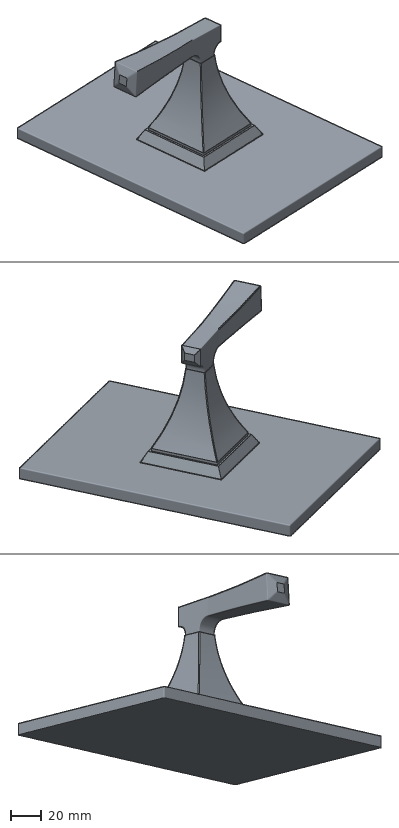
import cadquery as cq
import math

PLATE_WIDTH = 196.85
PLATE_HEIGHT = 139.7
PLATE_THICKNESS = 7.94
PLATE_ROUND = 0.8

FOOT_BOTTOM = 58.8
FOOT_TOP = 51.0
FOOT_TOP_Z = 15.4
FOOT_RIM_HEIGHT = 0.4

COLUMN_FOOT_HALF = 24.1
COLUMN_BAND_TOP_Z = 17.3
COLUMN_MIDDLE_HALF = 12.6
COLUMN_MIDDLE_Z = 43.8
COLUMN_TOP_HALF = 7.15
COLUMN_TOP_Z = 71.7
COLUMN_CORNER_ROUND = 0.6

HEAD_HALF_WIDTH = 6.9
NECK_HALF_DEPTH = 6.8
NECK_TOP_Z = 72.6
FRONT_NECK_RADIUS = 8.3
BACK_NECK_RADIUS = 6.2
HEAD_BACK_Y = 13.2
HEAD_BACK_TOP_Z = 92.0
GRIP_START_Y = -NECK_HALF_DEPTH - FRONT_NECK_RADIUS
GRIP_START_TOP_Z = 93.8

LEVER_TOP_Z = 99.2
LEVER_END_TOP_Y = -74.0
LEVER_END_BOTTOM_Y = -75.4
LEVER_END_BOTTOM_Z = 80.1
LEVER_END_HALF_WIDTH = 9.7
GRIP_MIDDLE_Y = -48.0
GRIP_MIDDLE_TOP_Z = 96.2
GRIP_MIDDLE_BOTTOM_Z = 80.8
GRIP_MIDDLE_HALF_WIDTH = 8.5

LEVER_EDGE_ROUND = 0.5
CAP_HIP_ROUND = 1.9
EDGE_MARGIN = 0.1

FRONT_CAP_TIP = 6.4
FRONT_CAP_DEPTH = 2.6
BACK_CAP_TIP_WIDTH = 7.2
BACK_CAP_TIP_HEIGHT = 5.4
BACK_CAP_DEPTH = 2.5


def blunt_pyramid(plane, base, tip, depth):
    """Frustum from a base rectangle to a tip rectangle along the plane normal."""
    return cq.Workplane(plane).rect(*base).workplane(offset=depth).rect(*tip).loft(ruled=True)


def make_plate():
    """Flat plate with its front and upright edges rounded; the back edges stay sharp."""
    plate = cq.Workplane("XY").box(PLATE_WIDTH, PLATE_HEIGHT, PLATE_THICKNESS, centered=(True, True, False))
    return plate.edges("|Z or >Z").fillet(PLATE_ROUND)


def make_foot():
    """Low square rim with a sloping frustum above it."""
    rim_top_z = PLATE_THICKNESS + FOOT_RIM_HEIGHT
    plane = cq.Plane(origin=(0, 0, rim_top_z))
    base = (FOOT_BOTTOM, FOOT_BOTTOM)
    tip = (FOOT_TOP, FOOT_TOP)
    rim = cq.Workplane(plane).rect(*base).extrude(-FOOT_RIM_HEIGHT)
    return rim.union(blunt_pyramid(plane, base, tip, FOOT_TOP_Z - rim_top_z))


def column_profile(plane_name):
    """Flared silhouette extruded symmetrically through the column."""
    return (
        cq.Workplane(plane_name)
        .moveTo(-COLUMN_FOOT_HALF, FOOT_TOP_Z)
        .lineTo(COLUMN_FOOT_HALF, FOOT_TOP_Z)
        .lineTo(COLUMN_FOOT_HALF, COLUMN_BAND_TOP_Z)
        .threePointArc((COLUMN_MIDDLE_HALF, COLUMN_MIDDLE_Z), (COLUMN_TOP_HALF, COLUMN_TOP_Z))
        .lineTo(-COLUMN_TOP_HALF, COLUMN_TOP_Z)
        .threePointArc((-COLUMN_MIDDLE_HALF, COLUMN_MIDDLE_Z), (-COLUMN_FOOT_HALF, COLUMN_BAND_TOP_Z))
        .close()
        .extrude(COLUMN_FOOT_HALF, both=True)
    )


def make_column():
    """Square column, flared alike on all four sides, with softened corners."""
    column = column_profile("XZ").intersect(column_profile("YZ"))
    return column.edges("not #Z").fillet(COLUMN_CORNER_ROUND)


def lever_side():
    """Side silhouette of neck, head and grip in the YZ plane."""
    diagonal = math.sqrt(0.5)
    grip_bottom_z = NECK_TOP_Z + FRONT_NECK_RADIUS
    back_y = NECK_HALF_DEPTH + BACK_NECK_RADIUS
    head_bottom_z = NECK_TOP_Z + BACK_NECK_RADIUS
    front_mid = (GRIP_START_Y + FRONT_NECK_RADIUS * diagonal, NECK_TOP_Z + FRONT_NECK_RADIUS * diagonal)
    back_mid = (back_y - BACK_NECK_RADIUS * diagonal, NECK_TOP_Z + BACK_NECK_RADIUS * diagonal)
    return (
        cq.Workplane("YZ")
        .moveTo(-NECK_HALF_DEPTH, COLUMN_TOP_Z)
        .lineTo(-NECK_HALF_DEPTH, NECK_TOP_Z)
        .threePointArc(front_mid, (GRIP_START_Y, grip_bottom_z))
        .threePointArc((GRIP_MIDDLE_Y, GRIP_MIDDLE_BOTTOM_Z), (LEVER_END_BOTTOM_Y, LEVER_END_BOTTOM_Z))
        .lineTo(LEVER_END_TOP_Y, LEVER_TOP_Z)
        .threePointArc((GRIP_MIDDLE_Y, GRIP_MIDDLE_TOP_Z), (GRIP_START_Y, GRIP_START_TOP_Z))
        .lineTo(HEAD_BACK_Y, HEAD_BACK_TOP_Z)
        .lineTo(HEAD_BACK_Y, head_bottom_z)
        .lineTo(back_y, head_bottom_z)
        .threePointArc(back_mid, (NECK_HALF_DEPTH, NECK_TOP_Z))
        .lineTo(NECK_HALF_DEPTH, COLUMN_TOP_Z)
        .close()
        .extrude(LEVER_END_HALF_WIDTH, both=True)
    )


def lever_plan():
    """Plan outline of the lever: a straight head, then a grip that widens to its end."""
    return (
        cq.Workplane("XY")
        .moveTo(HEAD_HALF_WIDTH, HEAD_BACK_Y)
        .lineTo(HEAD_HALF_WIDTH, GRIP_START_Y)
        .threePointArc((GRIP_MIDDLE_HALF_WIDTH, GRIP_MIDDLE_Y), (LEVER_END_HALF_WIDTH, LEVER_END_TOP_Y))
        .lineTo(LEVER_END_HALF_WIDTH, LEVER_END_BOTTOM_Y)
        .lineTo(-LEVER_END_HALF_WIDTH, LEVER_END_BOTTOM_Y)
        .lineTo(-LEVER_END_HALF_WIDTH, LEVER_END_TOP_Y)
        .threePointArc((-GRIP_MIDDLE_HALF_WIDTH, GRIP_MIDDLE_Y), (-HEAD_HALF_WIDTH, GRIP_START_Y))
        .lineTo(-HEAD_HALF_WIDTH, HEAD_BACK_Y)
        .close()
        .extrude(LEVER_TOP_Z)
    )


def make_front_cap():
    """Blunt pyramid square to the leaning end face of the grip."""
    run = LEVER_END_TOP_Y - LEVER_END_BOTTOM_Y
    rise = LEVER_TOP_Z - LEVER_END_BOTTOM_Z
    centre_y = (LEVER_END_TOP_Y + LEVER_END_BOTTOM_Y) / 2
    centre_z = (LEVER_TOP_Z + LEVER_END_BOTTOM_Z) / 2
    plane = cq.Plane(origin=(0, centre_y, centre_z), xDir=(1, 0, 0), normal=(0, -rise, run))
    base = (2 * LEVER_END_HALF_WIDTH, math.hypot(run, rise))
    return blunt_pyramid(plane, base, (FRONT_CAP_TIP, FRONT_CAP_TIP), FRONT_CAP_DEPTH)


def make_back_cap():
    """Blunt pyramid on the upright back face of the head."""
    bottom_z = NECK_TOP_Z + BACK_NECK_RADIUS
    centre_z = (HEAD_BACK_TOP_Z + bottom_z) / 2
    plane = cq.Plane(origin=(0, HEAD_BACK_Y, centre_z), xDir=(1, 0, 0), normal=(0, 1, 0))
    base = (2 * HEAD_HALF_WIDTH, HEAD_BACK_TOP_Z - bottom_z)
    return blunt_pyramid(plane, base, (BACK_CAP_TIP_WIDTH, BACK_CAP_TIP_HEIGHT), BACK_CAP_DEPTH)


def edges_between(y_low, y_high):
    """Selector for edges lying wholly inside a band of Y and clear above the column top."""
    return cq.selectors.BoxSelector(
        (-PLATE_WIDTH, y_low - EDGE_MARGIN, COLUMN_TOP_Z + EDGE_MARGIN),
        (PLATE_WIDTH, y_high + EDGE_MARGIN, 2 * LEVER_TOP_Z),
        boundingbox=True,
    )


def centred_beyond(y_limit):
    """Selector for edges whose centre lies further out along the lever than a limit."""
    return cq.selectors.BoxSelector((-PLATE_WIDTH, -PLATE_WIDTH, 0), (PLATE_WIDTH, y_limit, 2 * LEVER_TOP_Z))


def make_lever():
    """Neck, head and grip in one piece, capped at both ends, with softened edges."""
    body = lever_side().intersect(lever_plan())
    lever = body.union(make_front_cap()).union(make_back_cap())
    lever = lever.edges("not (|X or #X)").edges(centred_beyond(LEVER_END_BOTTOM_Y)).fillet(CAP_HIP_ROUND)
    end_rim = lever.edges(edges_between(LEVER_END_BOTTOM_Y, LEVER_END_TOP_Y)).edges("|X")
    side_edges = lever.edges(edges_between(LEVER_END_BOTTOM_Y, HEAD_BACK_Y)).edges("not (|X or |Z)")
    return end_rim.add(side_edges).fillet(LEVER_EDGE_ROUND)


result = make_plate().union(make_foot()).union(make_column()).union(make_lever())